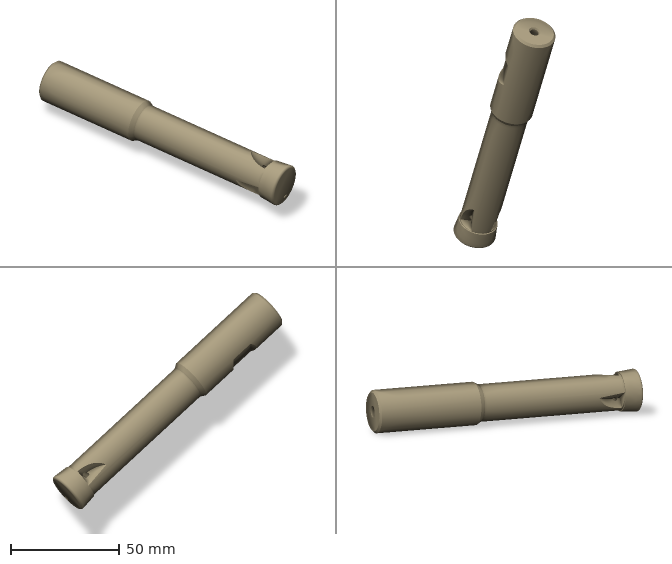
import cadquery as cq

total_length = 130.0
shank_diameter = 20.1
neck_diameter = 17.4
shank_radius = shank_diameter / 2
neck_radius = neck_diameter / 2

shank_chamfer = 1.0
shoulder_start = 49.8
shoulder_end = 52.1

flat_start = 19.4
flat_length = 11.0
flat_depth = 2.0

centre_diameter = 4.0
centre_mouth_diameter = 5.5
centre_depth = 5.2
centre_tip_depth = 1.2

head_start = 121.0
head_back_radius = 9.2
head_face = 129.6
head_rounding = 1.0

tip_start = 128.5
tip_width = 2.1
tip_thickness = 0.5
tip_z = -6.5

pocket_count = 3
pocket_turn = 147.0
pocket_run_out = 108.1
pocket_run_out_height = 7.3
pocket_middle = 112.7
pocket_middle_height = 3.5
pocket_floor_end = 120.2
pocket_end_height = 1.4
pocket_wall_start = 5.0
pocket_wall_end = 3.5

coolant_diameter = 2.5
coolant_x = 117.8
coolant_offset = 3.8
coolant_top = 3.9
coolant_depth = 4.8


def turned_body():
    """Shank, neck and flared head turned about the X axis."""
    return (
        cq.Workplane("XY")
        .moveTo(0, 0)
        .lineTo(0, shank_radius - shank_chamfer)
        .lineTo(shank_chamfer, shank_radius)
        .lineTo(shoulder_start, shank_radius)
        .lineTo(shoulder_end, neck_radius)
        .lineTo(head_start, neck_radius)
        .lineTo(head_start, head_back_radius)
        .lineTo(head_face, shank_radius)
        .lineTo(head_face, 0)
        .close()
        .revolve(360, (0, 0, 0), (1, 0, 0))
        .faces(">X")
        .edges()
        .fillet(head_rounding)
    )


def clamping_flat():
    """Notch with 45 degree ends, cut through along Z."""
    floor_y = shank_radius - flat_depth
    flare = shank_radius - floor_y
    flat_end = flat_start + flat_length
    return (
        cq.Workplane("XY")
        .polyline([
            (flat_start, floor_y),
            (flat_end, floor_y),
            (flat_end + flare, shank_radius),
            (flat_start - flare, shank_radius),
        ])
        .close()
        .extrude(shank_radius, both=True)
    )


def centre_hole():
    """Blind hole with a 45 degree mouth and a conical bottom."""
    hole_radius = centre_diameter / 2
    mouth_radius = centre_mouth_diameter / 2
    return (
        cq.Workplane("XY")
        .polyline([
            (0, 0),
            (0, mouth_radius),
            (mouth_radius - hole_radius, hole_radius),
            (centre_depth, hole_radius),
            (centre_depth + centre_tip_depth, 0),
        ])
        .close()
        .revolve(360, (0, 0, 0), (1, 0, 0))
    )


def chip_pocket():
    """Pocket with an arched floor beside a slanted wall, a sloping end, and its coolant hole."""
    floor_sweep = (
        cq.Workplane("XY")
        .moveTo(pocket_run_out, pocket_run_out_height)
        .threePointArc((pocket_middle, pocket_middle_height), (pocket_floor_end, pocket_end_height))
        .lineTo(head_start, neck_radius)
        .lineTo(head_start, shank_diameter)
        .lineTo(pocket_run_out, shank_diameter)
        .close()
        .extrude(shank_diameter)
    )
    wall_side = (
        cq.Workplane("XZ")
        .polyline([
            (pocket_run_out, pocket_wall_start),
            (head_start, pocket_wall_end),
            (head_start, shank_diameter),
            (pocket_run_out, shank_diameter),
        ])
        .close()
        .extrude(-shank_diameter)
    )
    coolant_hole = cq.Workplane(cq.Solid.makeCylinder(
        coolant_diameter / 2,
        coolant_depth,
        cq.Vector(coolant_x, coolant_top, coolant_offset),
        cq.Vector(0, -1, 0),
    ))
    return floor_sweep.intersect(wall_side).union(coolant_hole)


def cutting_tip():
    """Small block reaching the full length of the tool."""
    tip_length = total_length - tip_start
    return (
        cq.Workplane("XY")
        .box(tip_length, tip_width, tip_thickness, centered=(False, True, True))
        .translate((tip_start, 0, tip_z))
    )


result = turned_body().cut(clamping_flat()).cut(centre_hole())
pocket = chip_pocket()
for index in range(pocket_count):
    angle = pocket_turn + index * 360 / pocket_count
    result = result.cut(pocket.rotate((0, 0, 0), (1, 0, 0), angle))
result = result.union(cutting_tip())